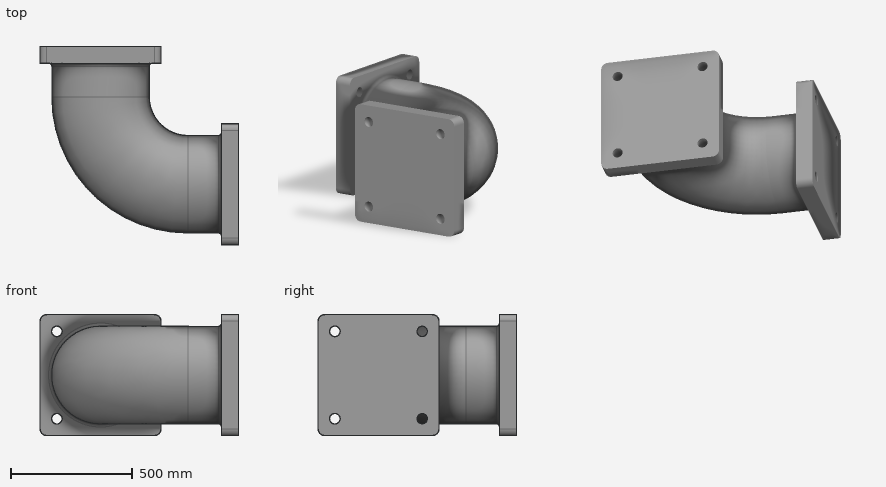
import cadquery as cq

overall = 820.0
flange_side = 500.0
flange_thickness = 70.5
flange_corner_radius = 28.0
bolt_hole_diameter = 43.0
bolt_spacing = 361.0

pipe_diameter = 403.5
bend_radius = 361.0
neck_fillet = 13.0

pipe_offset = overall / 2 - flange_side / 2
flange_inner = overall / 2 - flange_thickness
bend_centre = bend_radius - pipe_offset
straight_length = flange_inner - bend_centre


def flange_end():
    """Straight pipe, concave neck fillet and flange along +Z, starting at the end of the bend."""
    pipe_radius = pipe_diameter / 2
    pipe = (
        cq.Workplane("XZ")
        .lineTo(pipe_radius, 0)
        .lineTo(pipe_radius, straight_length - neck_fillet)
        .radiusArc((pipe_radius + neck_fillet, straight_length), neck_fillet)
        .lineTo(0, straight_length)
        .close()
        .revolve(360, (0, 0, 0), (0, 1, 0))
    )
    flange = (
        cq.Workplane("XY")
        .workplane(offset=straight_length)
        .rect(flange_side, flange_side)
        .extrude(flange_thickness)
        .edges("|Z")
        .fillet(flange_corner_radius)
        .faces(">Z")
        .workplane()
        .rect(bolt_spacing, bolt_spacing, forConstruction=True)
        .vertices()
        .hole(bolt_hole_diameter)
    )
    return pipe.union(flange)


bend = (
    cq.Workplane("XZ", origin=(-pipe_offset, bend_centre, 0))
    .circle(pipe_diameter / 2)
    .revolve(90, (bend_radius, 0, 0), (bend_radius, 1, 0))
)
y_leg = flange_end().rotate((0, 0, 0), (1, 0, 0), -90).translate((-pipe_offset, bend_centre, 0))
x_leg = flange_end().rotate((0, 0, 0), (0, 1, 0), 90).translate((bend_centre, -pipe_offset, 0))

result = bend.union(y_leg).union(x_leg)